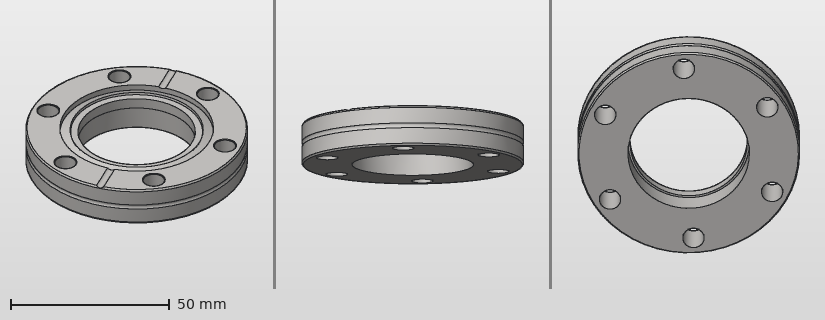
import cadquery as cq
import math

outer_diameter = 69.85
thickness = 12.7
rim_chamfer_width = 0.4
rim_chamfer_height = 0.6

rim_groove_width = 1.55
rim_groove_depth = 0.3

bore_diameter = 36.9
socket_diameter = 38.2
bore_edge_depth = 4.9

recess_diameter = 48.35
recess_depth = 1.95
knife_tip_diameter = 41.9
knife_tip_depth = 0.7
knife_base_diameter = 41.5
inner_face_depth = 1.4

bolt_count = 6
bolt_hole_diameter = 6.7
bolt_circle_diameter = 58.95
bolt_chamfer = 0.245
bolt_chamfer_angle = 90
first_bolt_angle = 90

leak_groove_angles = (120, 300)
leak_groove_width = 2.4
leak_groove_depth = 0.5

outer_radius = outer_diameter / 2
bore_radius = bore_diameter / 2
socket_radius = socket_diameter / 2
recess_radius = recess_diameter / 2


def make_flange():
    """Revolve the flange section, including recess, knife edge and rim groove."""
    rim_face_radius = outer_radius - rim_chamfer_width
    middle = thickness / 2
    half_groove = rim_groove_width / 2
    section = (
        cq.Workplane("XZ")
        .moveTo(socket_radius, 0)
        .lineTo(rim_face_radius, 0)
        .lineTo(outer_radius, rim_chamfer_height)
        .lineTo(outer_radius, middle - half_groove)
        .threePointArc(
            (outer_radius - rim_groove_depth, middle),
            (outer_radius, middle + half_groove),
        )
        .lineTo(outer_radius, thickness - rim_chamfer_height)
        .lineTo(rim_face_radius, thickness)
        .lineTo(recess_radius, thickness)
        .lineTo(recess_radius, thickness - recess_depth)
        .lineTo(knife_tip_diameter / 2, thickness - knife_tip_depth)
        .lineTo(knife_base_diameter / 2, thickness - inner_face_depth)
        .lineTo(bore_radius, thickness - inner_face_depth)
        .lineTo(bore_radius, thickness - bore_edge_depth)
        .lineTo(socket_radius, thickness - bore_edge_depth)
        .close()
    )
    return section.revolve(360, (0, 0, 0), (0, 1, 0))


def cut_bolt_holes(body):
    """Drill the bolt circle and chamfer each hole at the top face."""
    return (
        body.faces(">Z")
        .workplane(origin=(0, 0, thickness))
        .polarArray(bolt_circle_diameter / 2, first_bolt_angle, 360, bolt_count)
        .cskHole(bolt_hole_diameter, bolt_hole_diameter + 2 * bolt_chamfer, bolt_chamfer_angle)
    )


def make_leak_groove(angle):
    """Round cutter running radially from inside the recess out past the rim."""
    cutter_radius = (
        (leak_groove_width / 2) ** 2 + leak_groove_depth**2
    ) / (2 * leak_groove_depth)
    axis_height = thickness - leak_groove_depth + cutter_radius
    start = (recess_radius + knife_tip_diameter / 2) / 2
    direction = cq.Vector(math.cos(math.radians(angle)), math.sin(math.radians(angle)), 0)
    origin = direction * start + cq.Vector(0, 0, axis_height)
    return cq.Solid.makeCylinder(cutter_radius, outer_radius, origin, direction)


result = cut_bolt_holes(make_flange())
for groove_angle in leak_groove_angles:
    result = result.cut(make_leak_groove(groove_angle))